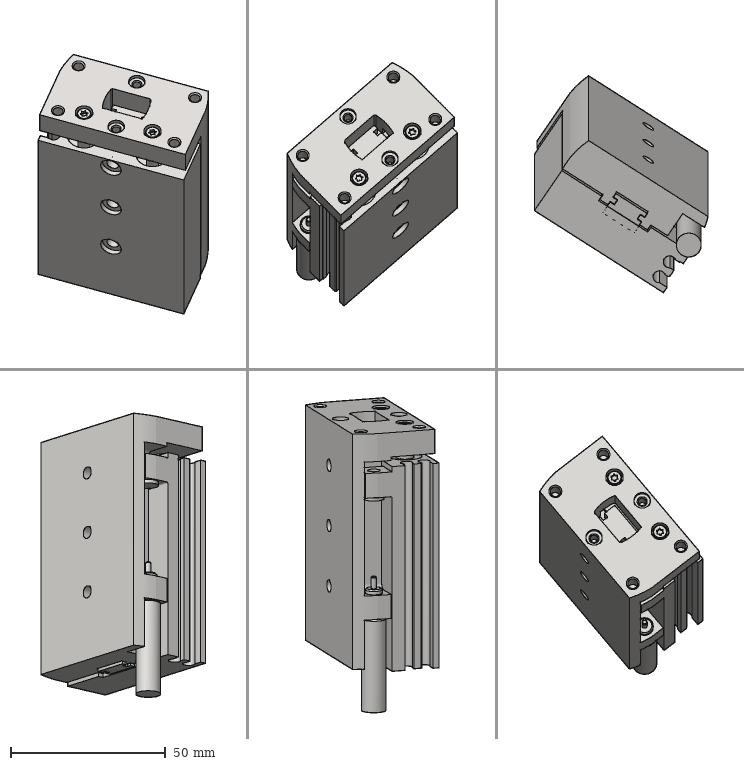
import cadquery as cq
import math

WIDTH = 50.0
DEPTH = 29.0
HEIGHT = 92.4
MID_X = WIDTH / 2

HOUSING_REAR = 16.1
HOUSING_BOTTOM = 13.3
HOUSING_TOP = 81.1
SIDE_RELIEF_FRONT = 2.1
SIDE_RELIEF_REAR = 11.6
SIDE_RELIEF_DEPTH = 1.3
SLOT_MOUTH = 3.2
SLOT_BORE_DIA = 4.0
SLOT_BORE_X = 4.1
SLOT_PITCH = 6.0
SLOT_FIRST_Y = SIDE_RELIEF_FRONT + SLOT_MOUTH / 2
SLOT_CENTRES_Y = (SLOT_FIRST_Y, SLOT_FIRST_Y + SLOT_PITCH)
RIB_CHAMFER = 0.4
MOUNT_HOLE_DIA = 4.0
MOUNT_BORE_DIA = 7.0
MOUNT_BORE_DEPTH = 1.7
MOUNT_HOLE_TOP_Z = 77.25
MOUNT_HOLE_PITCH = 20.0
MOUNT_HOLES_Z = [MOUNT_HOLE_TOP_Z - i * MOUNT_HOLE_PITCH for i in range(3)]
PLUG_X = 44.8
PLUG_Y = 12.3
PLUG_DIA = 6.0
PLUG_TOP = 82.7
PLUG_HEAD_DIA = 3.0
PLUG_HEAD_TOP = 83.2

POCKET_DEPTH_X = 9.2
POCKET_CENTRE_Y = 21.0
DAMPER_DIA = 8.0
DAMPER_X = DAMPER_DIA / 2
POCKET_REAR = 25.3
POCKET_GAP = 0.3
EAR_BOTTOM = 71.15
EAR_TOP = 79.4
EAR_HOLE_DIA = 4.0
STOP_DIA = 6.6
STOP_BOTTOM = 69.95
EAR_ROOT_FILLET = 0.6

SLIDE_FRONT = 16.45
SLIDE_BOTTOM = 14.5
YOKE_FRONT = 1.5
YOKE_BOTTOM = 84.4
POCKET_TOP = 83.2
POCKET_TOP_FILLET = 1.5
TAPER_INSET = 1.85
TAPER_MID_INSET = 0.65
HOLDER_BOTTOM = 30.9
HOLDER_TOP = 38.8
HOLDER_FILLET = 1.8

RAIL_WIDTH = 12.2
RAIL_FRONT = 11.55
RAIL_REAR = 19.2
RAIL_BOTTOM = 13.7
RAIL_TOP = 84.8
RAIL_GROOVE_FRONT = 15.8
RAIL_GROOVE_REAR = 17.65
RAIL_GROOVE_DEPTH = 1.7
CHANNEL_FRONT = 10.9
CHANNEL_REAR = 19.7
CHANNEL_END_WIDTH = 13.7
CHANNEL_MAX_WIDTH = 14.8
CHANNEL_CHAMFER = 0.5
SHOE_WIDTH = 18.5
SHOE_FRONT = 14.5
SHOE_TOP = 80.4
SHOE_CLEARANCE = 0.3

HOLE_SPACING_X = 39.9
HOLE_ROWS_Y = (5.1, 25.0)
THREAD_DIA = 3.2
HOLE_DEPTH = 6.5
THREAD_MOUTH_DIA = 4.2
CENTRE_BORE_DIA = 5.3
CENTRE_BORE_DEPTH = 1.3
CENTRE_HOLE_DIA = 2.5
CENTRE_MOUTH_DIA = 3.2

ROD_SPACING = 23.5
ROD_Y = 7.1
ROD_DIA = 4.0
ROD_BOTTOM = 37.0
ROD_XS = (MID_X - ROD_SPACING / 2, MID_X + ROD_SPACING / 2)
COLLAR_DIA = 5.8
COLLAR_BOTTOM = 80.8
ROD_RECESS_DIA = 11.0
ROD_RECESS_DEPTH = 5.45
HEAD_DIA = 4.5
HEAD_CHAMFER = 0.2
HEAD_TOP = 91.9
HEAD_BOTTOM = 89.4
HEAD_BORE_DIA = 5.6
STAR_LOBES = 6
STAR_OUTER_DIA = 2.5
STAR_INNER_DIA = 1.7
STAR_DEPTH = 1.1

DAMPER_CHAMFER = 0.6
NECK_DIA = 5.6
NECK_TOP = 40.4
NECK_CHAMFER = 0.5
PLUNGER_DIA = 1.8
PLUNGER_TOP = 44.3
PLUNGER_CHAMFER = 0.3


def box(x0, x1, y0, y1, z0, z1):
    """Block between two corners."""
    return cq.Workplane("XY").box(x1 - x0, y1 - y0, z1 - z0, centered=False).translate((x0, y0, z0))


def upright(x, y, dia, z0, z1):
    """Cylinder along Z."""
    return cq.Workplane("XY", origin=(x, y, z0)).circle(dia / 2).extrude(z1 - z0)


def hole_with_mouth(x, y, top, dia, mouth_dia, depth):
    """Blind hole cutter with a 45 degree chamfer at its mouth."""
    chamfer = (mouth_dia - dia) / 2
    mouth = cq.Solid.makeCone(dia / 2, mouth_dia / 2, chamfer, pnt=cq.Vector(x, y, top - chamfer))
    return upright(x, y, dia, top - depth, top).union(cq.Workplane(mouth))


def tapered_block(y0, y1, z0, z1):
    """Full-width block whose sides curve inwards behind the damper axis."""
    mid_y = (POCKET_CENTRE_Y + DEPTH) / 2
    outline = (
        cq.Workplane("XY", origin=(0, 0, z0))
        .moveTo(0, YOKE_FRONT)
        .lineTo(WIDTH, YOKE_FRONT)
        .lineTo(WIDTH, POCKET_CENTRE_Y)
        .threePointArc((WIDTH - TAPER_MID_INSET, mid_y), (WIDTH - TAPER_INSET, DEPTH))
        .lineTo(TAPER_INSET, DEPTH)
        .threePointArc((TAPER_MID_INSET, mid_y), (0, POCKET_CENTRE_Y))
        .close()
        .extrude(z1 - z0)
    )
    return outline.intersect(box(0, WIDTH, y0, y1, z0, z1))


def mount_holes():
    """Cutters of the holes along Y through housing, rail and slide."""
    holes = cq.Workplane("XZ").pushPoints([(MID_X, z) for z in MOUNT_HOLES_Z])
    return holes.circle(MOUNT_HOLE_DIA / 2).extrude(-DEPTH)


def mount_bores():
    """Cutters of the counterbores in the front face of the housing."""
    bores = cq.Workplane("XZ").pushPoints([(MID_X, z) for z in MOUNT_HOLES_Z])
    return bores.circle(MOUNT_BORE_DIA / 2).extrude(-MOUNT_BORE_DEPTH)


def plain_rail():
    """Rail with a groove along each side, before the mounting holes."""
    left = MID_X - RAIL_WIDTH / 2
    right = MID_X + RAIL_WIDTH / 2
    body = box(left, right, RAIL_FRONT, RAIL_REAR, RAIL_BOTTOM, RAIL_TOP)
    for x0, x1 in ((left, left + RAIL_GROOVE_DEPTH), (right - RAIL_GROOVE_DEPTH, right)):
        body = body.cut(box(x0, x1, RAIL_GROOVE_FRONT, RAIL_GROOVE_REAR, RAIL_BOTTOM, RAIL_TOP))
    return body


def make_rail():
    return plain_rail().cut(mount_holes())


def sensor_slot(y):
    """Cutter of one keyhole slot, open to -X."""
    half = SLOT_MOUTH / 2
    mouth = box(0, SLOT_BORE_X, y - half, y + half, HOUSING_BOTTOM, HOUSING_TOP)
    return mouth.union(upright(SLOT_BORE_X, y, SLOT_BORE_DIA, HOUSING_BOTTOM, HOUSING_TOP))


def rib_corner():
    """Cutter that chamfers the front corner of the rib between the slots."""
    x = SIDE_RELIEF_DEPTH
    y = SLOT_FIRST_Y + SLOT_MOUTH / 2
    triangle = [(x, y), (x + RIB_CHAMFER, y), (x, y + RIB_CHAMFER)]
    plane = cq.Workplane("XY", origin=(0, 0, HOUSING_BOTTOM))
    return plane.polyline(triangle).close().extrude(HOUSING_TOP - HOUSING_BOTTOM)


def stop_ear():
    """Ear that reaches into the side pocket of the slide and carries the damper stop."""
    ear = tapered_block(HOUSING_REAR, POCKET_REAR - POCKET_GAP, EAR_BOTTOM, EAR_TOP)
    ear = ear.intersect(box(0, POCKET_DEPTH_X - POCKET_GAP, 0, DEPTH, EAR_BOTTOM, EAR_TOP))
    ear = ear.union(upright(DAMPER_X, POCKET_CENTRE_Y, STOP_DIA, STOP_BOTTOM, EAR_BOTTOM))
    return ear.cut(upright(DAMPER_X, POCKET_CENTRE_Y, EAR_HOLE_DIA, EAR_BOTTOM, EAR_TOP))


def make_housing():
    body = box(0, WIDTH, 0, HOUSING_REAR, HOUSING_BOTTOM, HOUSING_TOP)
    body = body.cut(
        box(0, SIDE_RELIEF_DEPTH, SIDE_RELIEF_FRONT, SIDE_RELIEF_REAR, HOUSING_BOTTOM, HOUSING_TOP)
    )
    for y in SLOT_CENTRES_Y:
        body = body.cut(sensor_slot(y))
    body = body.cut(rib_corner())

    half_rail = RAIL_WIDTH / 2
    half_bed = SHOE_WIDTH / 2 + SHOE_CLEARANCE
    shoe_floor = SHOE_FRONT - SHOE_CLEARANCE
    body = body.cut(
        box(MID_X - half_rail, MID_X + half_rail, RAIL_FRONT, HOUSING_REAR, RAIL_BOTTOM, HOUSING_TOP)
    )
    body = body.cut(
        box(MID_X - half_bed, MID_X + half_bed, shoe_floor, HOUSING_REAR, HOUSING_BOTTOM, HOUSING_TOP)
    )

    for x in ROD_XS:
        body = body.cut(upright(x, ROD_Y, ROD_RECESS_DIA, HOUSING_TOP - ROD_RECESS_DEPTH, HOUSING_TOP))
        body = body.cut(upright(x, ROD_Y, ROD_DIA, ROD_BOTTOM, HOUSING_TOP))

    body = body.union(stop_ear())
    ear_root = cq.NearestToPointSelector((DAMPER_X, HOUSING_REAR, EAR_BOTTOM))
    body = body.edges(ear_root).fillet(EAR_ROOT_FILLET)
    body = body.union(upright(PLUG_X, PLUG_Y, PLUG_DIA, HOUSING_TOP, PLUG_TOP))
    body = body.union(upright(PLUG_X, PLUG_Y, PLUG_HEAD_DIA, PLUG_TOP, PLUG_HEAD_TOP))
    return body.cut(mount_holes()).cut(mount_bores())


def channel():
    """Cutter of the bulged channel that runs over the rail and out through the yoke."""
    half_end = CHANNEL_END_WIDTH / 2
    half_max = CHANNEL_MAX_WIDTH / 2
    side_rear = CHANNEL_REAR - CHANNEL_CHAMFER
    side_mid = (CHANNEL_FRONT + side_rear) / 2
    return (
        cq.Workplane("XY", origin=(MID_X, 0, SLIDE_BOTTOM))
        .moveTo(-half_end, CHANNEL_FRONT)
        .lineTo(half_end, CHANNEL_FRONT)
        .threePointArc((half_max, side_mid), (half_end, side_rear))
        .lineTo(half_end - CHANNEL_CHAMFER, CHANNEL_REAR)
        .lineTo(CHANNEL_CHAMFER - half_end, CHANNEL_REAR)
        .lineTo(-half_end, side_rear)
        .threePointArc((-half_max, side_mid), (-half_end, CHANNEL_FRONT))
        .close()
        .extrude(HEIGHT - SLIDE_BOTTOM)
    )


def shoes():
    """Bearing shoes that fill the channel beside the rail and reach into its grooves."""
    half = SHOE_WIDTH / 2
    block = box(MID_X - half, MID_X + half, SHOE_FRONT, CHANNEL_REAR, SLIDE_BOTTOM, SHOE_TOP)
    rear_gap = box(
        MID_X - RAIL_WIDTH / 2, MID_X + RAIL_WIDTH / 2, RAIL_REAR, CHANNEL_REAR, SLIDE_BOTTOM, SHOE_TOP
    )
    return block.cut(plain_rail()).cut(rear_gap)


def side_pocket(z0, z1):
    """Cutter of one stretch of the pocket in the -X side."""
    return box(0, POCKET_DEPTH_X, SLIDE_FRONT, POCKET_REAR, z0, z1)


def yoke_holes():
    """Cutters of the threaded corner holes, the centre holes and the rod holes."""
    cutters = cq.Workplane("XY")
    for y in HOLE_ROWS_Y:
        for x in (MID_X - HOLE_SPACING_X / 2, MID_X + HOLE_SPACING_X / 2):
            cutters = cutters.union(
                hole_with_mouth(x, y, HEIGHT, THREAD_DIA, THREAD_MOUTH_DIA, HOLE_DEPTH)
            )
        floor = HEIGHT - CENTRE_BORE_DEPTH
        cutters = cutters.union(upright(MID_X, y, CENTRE_BORE_DIA, floor, HEIGHT))
        depth = HOLE_DEPTH - CENTRE_BORE_DEPTH
        cutters = cutters.union(hole_with_mouth(MID_X, y, floor, CENTRE_HOLE_DIA, CENTRE_MOUTH_DIA, depth))
    for x in ROD_XS:
        cutters = cutters.union(upright(x, ROD_Y, ROD_DIA, YOKE_BOTTOM, HEIGHT))
        cutters = cutters.union(upright(x, ROD_Y, HEAD_BORE_DIA, HEAD_BOTTOM, HEIGHT))
    return cutters


def make_slide():
    yoke = tapered_block(YOKE_FRONT, DEPTH, YOKE_BOTTOM, HEIGHT)
    body = yoke.union(tapered_block(SLIDE_FRONT, DEPTH, SLIDE_BOTTOM, YOKE_BOTTOM))

    upper = side_pocket(HOLDER_TOP, POCKET_TOP)
    upper = upper.edges(">X and >Z").fillet(POCKET_TOP_FILLET)
    upper = upper.edges(">X and <Z").fillet(HOLDER_FILLET)
    body = body.cut(upper).cut(side_pocket(SLIDE_BOTTOM, HOLDER_BOTTOM))

    body = body.cut(channel()).union(shoes())
    body = body.cut(upright(DAMPER_X, POCKET_CENTRE_Y, NECK_DIA, HOLDER_BOTTOM, HOLDER_TOP))
    return body.cut(yoke_holes()).cut(mount_holes())


def make_damper():
    body = upright(DAMPER_X, POCKET_CENTRE_Y, DAMPER_DIA, 0, HOLDER_BOTTOM)
    body = body.faces(">Z").chamfer(DAMPER_CHAMFER)
    neck = upright(DAMPER_X, POCKET_CENTRE_Y, NECK_DIA, HOLDER_BOTTOM, NECK_TOP)
    neck = neck.faces(">Z").chamfer(NECK_CHAMFER)
    plunger = upright(DAMPER_X, POCKET_CENTRE_Y, PLUNGER_DIA, NECK_TOP, PLUNGER_TOP)
    plunger = plunger.faces(">Z").chamfer(PLUNGER_CHAMFER)
    return body.union(neck).union(plunger)


def star_socket(x, y):
    """Cutter of the star-shaped drive socket in a rod head."""
    points = []
    step = math.pi / STAR_LOBES
    for i in range(2 * STAR_LOBES):
        radius = (STAR_OUTER_DIA if i % 2 == 0 else STAR_INNER_DIA) / 2
        angle = math.pi / 2 + i * step
        points.append((radius * math.cos(angle), radius * math.sin(angle)))
    plane = cq.Workplane("XY", origin=(x, y, HEAD_TOP - STAR_DEPTH))
    return plane.polyline(points).close().extrude(STAR_DEPTH)


def make_rod(x):
    shaft = upright(x, ROD_Y, ROD_DIA, ROD_BOTTOM, HEAD_BOTTOM)
    collar = upright(x, ROD_Y, COLLAR_DIA, COLLAR_BOTTOM, YOKE_BOTTOM)
    head = upright(x, ROD_Y, HEAD_DIA, HEAD_BOTTOM, HEAD_TOP).faces(">Z").chamfer(HEAD_CHAMFER)
    return shaft.union(collar).union(head).cut(star_socket(x, ROD_Y))


housing = make_housing()
rail = make_rail()
slide = make_slide()
damper = make_damper()
rods = [make_rod(x) for x in ROD_XS]

result = cq.Compound.makeCompound(
    [housing.val(), rail.val(), slide.val(), damper.val(), *[rod.val() for rod in rods]]
)